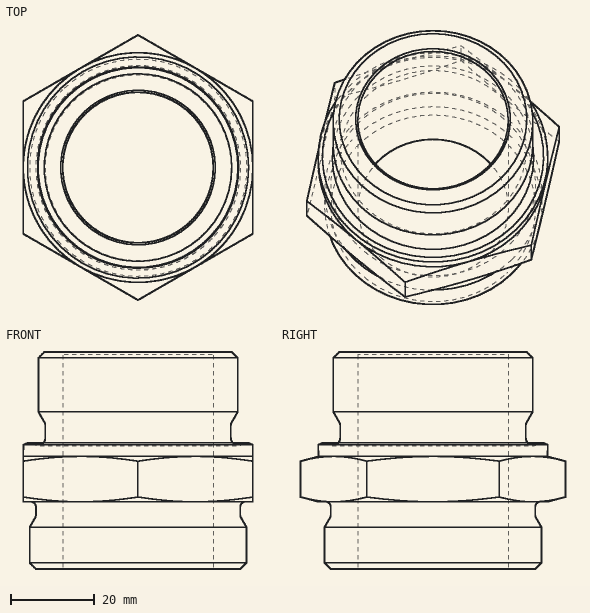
import cadquery as cq
import math

height = 52.0
hex_corner_dia = 63.5
bore_dia = 36.0
bore_chamfer = 0.5

upper_dia = 47.8
upper_groove_dia = 44.5
upper_chamfer = 1.45
upper_shoulder_z = 37.65

collar_top_z = 30.2
collar_bevel_width = 1.0
collar_bevel_height = 0.45
collar_dish_depth = 0.65

hex_top_z = 27.0
hex_bottom_z = 16.1
hex_bevel_angle = 15.0

lower_dia = 52.0
lower_groove_dia = 49.0
lower_chamfer = 1.5
lower_shoulder_z = 10.05

groove_taper_angle = 30.0
groove_root_radius = 1.2
upper_flange_fillet = 1.85
lower_flange_fillet = 1.2

taper = math.radians(groove_taper_angle)
collar_dish_z = collar_top_z - collar_dish_depth
hex_flat_radius = hex_corner_dia / 2 * math.cos(math.radians(30))


def spigot(radius, groove_radius, shoulder, end_chamfer, flange, flange_fillet):
    """Grooved spigot with its free end at z = 0 and its flange face at z = flange."""
    root = groove_root_radius
    taper_end_radius = groove_radius + root * (1 - math.cos(taper))
    taper_end = shoulder + (radius - taper_end_radius) / math.tan(taper)
    wall_start = taper_end + root * math.sin(taper)
    root_mid = (
        groove_radius + root * (1 - math.cos(taper / 2)),
        wall_start - root * math.sin(taper / 2),
    )
    fillet_mid_offset = flange_fillet * (1 - math.sqrt(0.5))
    profile = (
        cq.Workplane("XZ")
        .moveTo(0, 0)
        .lineTo(radius - end_chamfer, 0)
        .lineTo(radius, end_chamfer)
        .lineTo(radius, shoulder)
        .lineTo(taper_end_radius, taper_end)
        .threePointArc(root_mid, (groove_radius, wall_start))
        .lineTo(groove_radius, flange - flange_fillet)
        .threePointArc(
            (groove_radius + fillet_mid_offset, flange - fillet_mid_offset),
            (groove_radius + flange_fillet, flange),
        )
        .lineTo(0, flange)
        .close()
    )
    return profile.revolve(360, (0, 0, 0), (0, 1, 0))


def hexagon():
    """Hexagon with corners on the Y axis and conical bevels on both faces."""
    band_height = hex_top_z - hex_bottom_z
    corner_radius = hex_corner_dia / 2
    bevel_drop = (corner_radius - hex_flat_radius) * math.tan(math.radians(hex_bevel_angle))
    prism = (
        cq.Workplane("XY", origin=(0, 0, hex_bottom_z))
        .polygon(6, hex_corner_dia)
        .extrude(band_height)
        .rotate((0, 0, 0), (0, 0, 1), 30)
    )
    envelope = (
        cq.Workplane("XZ")
        .moveTo(0, hex_bottom_z)
        .lineTo(hex_flat_radius, hex_bottom_z)
        .lineTo(corner_radius, hex_bottom_z + bevel_drop)
        .lineTo(corner_radius, hex_top_z - bevel_drop)
        .lineTo(hex_flat_radius, hex_top_z)
        .lineTo(0, hex_top_z)
        .close()
        .revolve(360, (0, 0, 0), (0, 1, 0))
    )
    return prism.intersect(envelope)


def collar():
    """Round collar across the hexagon flats, with a bevelled rim and a top face dished towards the groove."""
    dish_radius = upper_groove_dia / 2 + upper_flange_fillet
    return (
        cq.Workplane("XZ")
        .moveTo(0, hex_top_z)
        .lineTo(hex_flat_radius, hex_top_z)
        .lineTo(hex_flat_radius, collar_top_z - collar_bevel_height)
        .lineTo(hex_flat_radius - collar_bevel_width, collar_top_z)
        .lineTo(dish_radius, collar_dish_z)
        .lineTo(0, collar_dish_z)
        .close()
        .revolve(360, (0, 0, 0), (0, 1, 0))
    )


def bore():
    """Through bore with a chamfer at the upper mouth."""
    radius = bore_dia / 2
    return (
        cq.Workplane("XZ")
        .lineTo(radius, 0)
        .lineTo(radius, height - bore_chamfer)
        .lineTo(radius + bore_chamfer, height)
        .lineTo(0, height)
        .close()
        .revolve(360, (0, 0, 0), (0, 1, 0))
    )


lower_spigot = spigot(
    lower_dia / 2,
    lower_groove_dia / 2,
    lower_shoulder_z,
    lower_chamfer,
    hex_bottom_z,
    lower_flange_fillet,
)

upper_spigot = (
    spigot(
        upper_dia / 2,
        upper_groove_dia / 2,
        height - upper_shoulder_z,
        upper_chamfer,
        height - collar_dish_z,
        upper_flange_fillet,
    )
    .rotate((0, 0, 0), (1, 0, 0), 180)
    .translate((0, 0, height))
)

result = lower_spigot.union(hexagon()).union(collar()).union(upper_spigot).cut(bore())